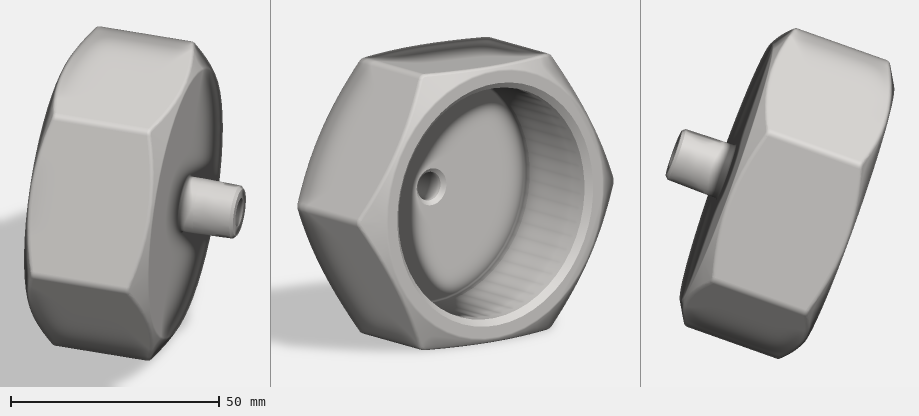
import cadquery as cq
import math

across_flats = 68.0
head_length = 31.1
corner_round = 2.0
head_chamfer_angle = 30.0
end_face_diameter = 65.8
end_face_round = 1.0
flat_edge_round = 1.0

spigot_diameter = 13.4
spigot_tip_diameter = 12.9
spigot_straight_length = 3.7
overall_length = 44.5
spigot_tip_chamfer = 0.7
spigot_root_fillet = 0.5

socket_diameter = 56.6
socket_depth = 24.9
socket_relief_diameter = 56.9
socket_relief_length = 2.0
socket_floor_round = 0.5
socket_mouth_chamfer = 1.5

hole_diameter = 7.0
hole_chamfer = 1.0


def revolve_about_x(points):
    """Solid of revolution about X from (x, radius) points."""
    return cq.Workplane("XY").polyline(points).close().revolve(360, (0, 0, 0), (1, 0, 0))


def make_head():
    """Hexagon along X with conical chamfers on both ends and all outer edges rounded."""
    corner_radius = across_flats / math.sqrt(3)
    face_radius = end_face_diameter / 2
    clearance = 0.8
    blank_radius = corner_radius + clearance
    chamfer_length = (blank_radius - face_radius) * math.tan(math.radians(head_chamfer_angle))
    prism = (
        cq.Workplane("YZ")
        .polygon(6, 2 * corner_radius)
        .extrude(head_length)
        .edges("|X")
        .fillet(corner_round)
    )
    blank = revolve_about_x([
        (0, 0),
        (0, face_radius),
        (chamfer_length, blank_radius),
        (head_length - chamfer_length, blank_radius),
        (head_length, face_radius),
        (head_length, 0),
    ]).faces("<X or >X").edges().fillet(end_face_round)
    head = prism.intersect(blank)
    return head.edges("not |X").edges("not %CIRCLE").fillet(flat_edge_round)


def make_spigot():
    """Straight root, then a slight taper with a chamfered tip."""
    root_radius = spigot_diameter / 2
    tip_radius = spigot_tip_diameter / 2
    return revolve_about_x([
        (head_length, 0),
        (head_length, root_radius),
        (head_length + spigot_straight_length, root_radius),
        (overall_length - spigot_tip_chamfer, tip_radius),
        (overall_length, tip_radius - spigot_tip_chamfer),
        (overall_length, 0),
    ])


def make_socket():
    """Bore with a chamfered mouth, a shallow relief at its inner end and a rounded floor corner."""
    bore_radius = socket_diameter / 2
    relief_radius = socket_relief_diameter / 2
    relief_start = socket_depth - socket_relief_length
    socket = revolve_about_x([
        (0, 0),
        (0, bore_radius + socket_mouth_chamfer),
        (socket_mouth_chamfer, bore_radius),
        (relief_start, bore_radius),
        (relief_start, relief_radius),
        (socket_depth, relief_radius),
        (socket_depth, 0),
    ])
    return socket.faces(">X").edges().fillet(socket_floor_round)


def make_hole():
    """Through hole with a chamfer at the socket floor."""
    hole_radius = hole_diameter / 2
    return revolve_about_x([
        (socket_depth, 0),
        (socket_depth, hole_radius + hole_chamfer),
        (socket_depth + hole_chamfer, hole_radius),
        (overall_length, hole_radius),
        (overall_length, 0),
    ])


def make_body():
    """Head and spigot joined, with a small fillet where the spigot leaves the head."""
    body = make_head().union(make_spigot())
    margin = 0.1
    root_box = cq.selectors.BoxSelector(
        (head_length - margin, -spigot_diameter, -spigot_diameter),
        (head_length + margin, spigot_diameter, spigot_diameter),
        boundingbox=True,
    )
    return body.edges(root_box).fillet(spigot_root_fillet)


result = make_body().cut(make_socket()).cut(make_hole())